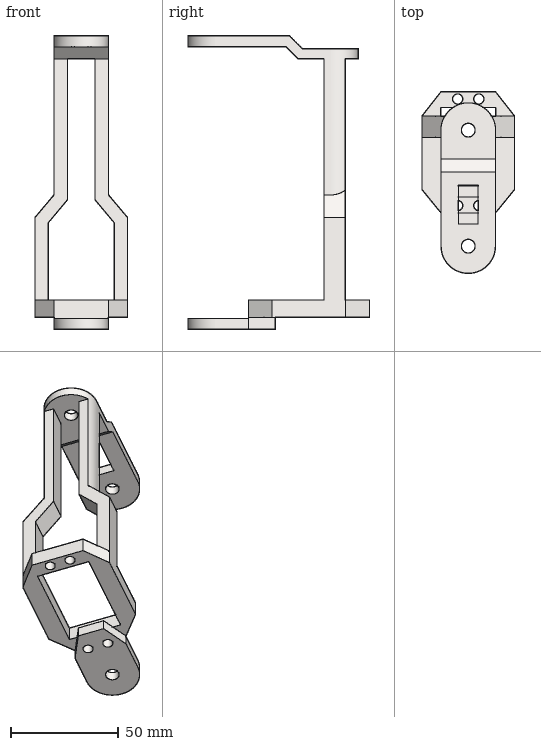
import cadquery as cq

HEIGHT = 136.8
DEPTH = 84.7
HALF_WIDTH = 21.6

TAB_RADIUS = 12.7
TAB_THICKNESS = 5.2
MOUNT_HOLE_DIAMETER = 6.3

RING_BOTTOM = 5.6
RING_TOP = 13.8
RING_FRONT = 28.2
RING_SIDE_FRONT = 39.1
RING_SIDE_REAR = 73.3
OPENING_FRONT = 35.5
OPENING_REAR = 77.3
SCREW_HOLE_DIAMETER = 4.7
SCREW_HOLE_HALF_SPACING = 4.9
SCREW_HOLE_FRONT_Y = 31.6
SCREW_HOLE_REAR_Y = 81.3

ROOT_REAR = 40.8
ROOT_REAR_HALF_WIDTH = 6.3

POST_FRONT = 63.3
POST_REAR = RING_SIDE_REAR
POST_INNER_LOWER = 15.3
POST_INNER_UPPER = 6.3
BEND_OUTER_LOW = 52.1
BEND_OUTER_HIGH = 62.7
BEND_INNER_LOW = 49.7
BEND_INNER_HIGH = 60.5

PLATE_REAR = 79.5
PLATE_REAR_CENTER = PLATE_REAR - TAB_RADIUS
LOW_PLATE_BOTTOM = 126.0
LOW_PLATE_TOP = 130.8
HIGH_PLATE_BOTTOM = HEIGHT - TAB_THICKNESS
STEP_TOP_FRONT = 47.3
STEP_BOTTOM_FRONT = 45.7
SLOT_HALF_WIDTH = 4.7
SLOT_FRONT = 23.1
SLOT_REAR = 41.2


def vertical_holes(points, diameter):
    """Cutters that run through the whole height of the part."""
    return cq.Workplane("XY").pushPoints(points).circle(diameter / 2).extrude(HEIGHT)


def span_box(half_width, y_front, y_rear, z_bottom, z_top):
    """Box centred on X = 0."""
    return cq.Workplane("XY").box(
        2 * half_width, y_rear - y_front, z_top - z_bottom, centered=(True, False, False)
    ).translate((0, y_front, z_bottom))


def plate_envelope():
    """Full-height prism with the outline of the top plate, round at both ends."""
    return (
        cq.Workplane("XY")
        .moveTo(-TAB_RADIUS, TAB_RADIUS)
        .threePointArc((0, 0), (TAB_RADIUS, TAB_RADIUS))
        .lineTo(TAB_RADIUS, PLATE_REAR_CENTER)
        .threePointArc((0, PLATE_REAR), (-TAB_RADIUS, PLATE_REAR_CENTER))
        .close()
        .extrude(HEIGHT)
    )


def base_ring():
    """Octagonal frame with a rectangular opening."""
    outline = [
        (-TAB_RADIUS, RING_FRONT),
        (TAB_RADIUS, RING_FRONT),
        (HALF_WIDTH, RING_SIDE_FRONT),
        (HALF_WIDTH, RING_SIDE_REAR),
        (TAB_RADIUS, DEPTH),
        (-TAB_RADIUS, DEPTH),
        (-HALF_WIDTH, RING_SIDE_REAR),
        (-HALF_WIDTH, RING_SIDE_FRONT),
    ]
    ring = (
        cq.Workplane("XY", origin=(0, 0, RING_BOTTOM))
        .polyline(outline)
        .close()
        .extrude(RING_TOP - RING_BOTTOM)
    )
    return ring.cut(span_box(TAB_RADIUS, OPENING_FRONT, OPENING_REAR, RING_BOTTOM, RING_TOP))


def lower_tab():
    """Round-ended tab on a slightly taller root that tapers under the ring."""
    tab = plate_envelope().intersect(span_box(TAB_RADIUS, 0, RING_FRONT, 0, TAB_THICKNESS))
    root = (
        cq.Workplane("XY")
        .polyline([
            (-TAB_RADIUS, RING_FRONT),
            (TAB_RADIUS, RING_FRONT),
            (ROOT_REAR_HALF_WIDTH, ROOT_REAR),
            (-ROOT_REAR_HALF_WIDTH, ROOT_REAR),
        ])
        .close()
        .extrude(RING_BOTTOM)
    )
    return tab.union(root)


def posts():
    """Two cranked posts whose upper parts follow the round rear of the top plate."""
    profile = [
        (HALF_WIDTH, RING_BOTTOM),
        (HALF_WIDTH, BEND_OUTER_LOW),
        (TAB_RADIUS, BEND_OUTER_HIGH),
        (TAB_RADIUS, LOW_PLATE_TOP),
        (POST_INNER_UPPER, LOW_PLATE_TOP),
        (POST_INNER_UPPER, BEND_INNER_HIGH),
        (POST_INNER_LOWER, BEND_INNER_LOW),
        (POST_INNER_LOWER, RING_BOTTOM),
    ]
    post = (
        cq.Workplane("XZ", origin=(0, POST_REAR, 0))
        .polyline(profile)
        .close()
        .extrude(POST_REAR - POST_FRONT)
    )
    slope = (BEND_OUTER_HIGH - BEND_OUTER_LOW) / (HALF_WIDTH - TAB_RADIUS)
    bend_end = BEND_OUTER_HIGH + slope * (TAB_RADIUS - POST_INNER_UPPER)
    bend_zone = (
        cq.Workplane("XZ", origin=(0, POST_REAR, 0))
        .polyline([
            (POST_INNER_UPPER, 0),
            (HALF_WIDTH, 0),
            (HALF_WIDTH, BEND_OUTER_LOW),
            (POST_INNER_UPPER, bend_end),
        ])
        .close()
        .extrude(POST_REAR - POST_FRONT)
    )
    right = post.intersect(bend_zone.union(plate_envelope()))
    return right.union(right.mirror("YZ"))


def top_plate():
    """Plate stepped by a 45 degree ramp, with a rectangular slot in the high part."""
    side = [
        (0, HEIGHT),
        (STEP_TOP_FRONT, HEIGHT),
        (STEP_TOP_FRONT + HEIGHT - LOW_PLATE_TOP, LOW_PLATE_TOP),
        (PLATE_REAR, LOW_PLATE_TOP),
        (PLATE_REAR, LOW_PLATE_BOTTOM),
        (STEP_BOTTOM_FRONT + HIGH_PLATE_BOTTOM - LOW_PLATE_BOTTOM, LOW_PLATE_BOTTOM),
        (STEP_BOTTOM_FRONT, HIGH_PLATE_BOTTOM),
        (0, HIGH_PLATE_BOTTOM),
    ]
    plate = cq.Workplane("YZ").polyline(side).close().extrude(TAB_RADIUS, both=True)
    plate = plate.intersect(plate_envelope())
    return plate.cut(span_box(SLOT_HALF_WIDTH, SLOT_FRONT, SLOT_REAR, HIGH_PLATE_BOTTOM, HEIGHT))


mount_holes = vertical_holes([(0, TAB_RADIUS), (0, PLATE_REAR_CENTER)], MOUNT_HOLE_DIAMETER)
screw_points = [
    (side * SCREW_HOLE_HALF_SPACING, y)
    for side in (-1, 1)
    for y in (SCREW_HOLE_FRONT_Y, SCREW_HOLE_REAR_Y)
]
screw_holes = vertical_holes(screw_points, SCREW_HOLE_DIAMETER).intersect(
    span_box(HALF_WIDTH, 0, DEPTH, 0, RING_TOP)
)

frame = base_ring().union(lower_tab()).union(posts()).union(top_plate())
result = frame.cut(mount_holes).cut(screw_holes)